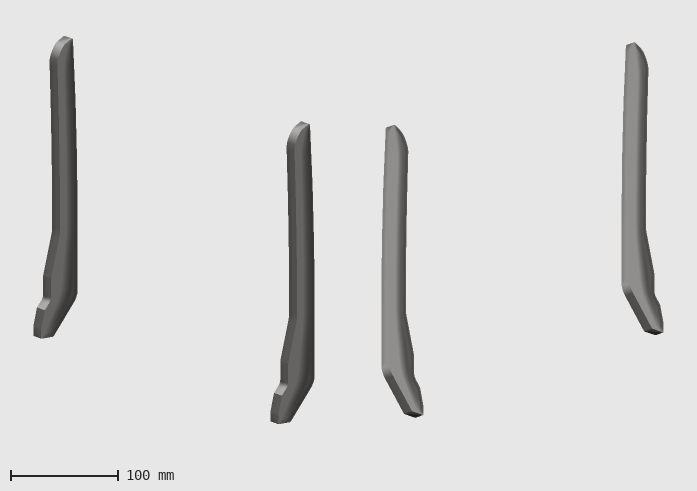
import cadquery as cq
import math

total_width = 250.0
plate_depth = 80.0
plate_height = 402.8
plate_thickness = 8.0

back_curve_start = 100.5
tip_back_depth = 10.5
tip_front_depth = 45.5
tip_front_height = 411.5
knee_depth = 38.5
knee_height = 135.7
step_depth = 58.5
step_height = 92.0
ledge_height = 60.0
ledge_front_depth = 72.0
nose_top_height = 41.0
nose_bottom_height = 27.0
tip_angle = math.radians(29)

tip_front_radius = 12.0
tip_back_radius = 8.0
heel_radius = 8.0
knee_radius = 20.0
ledge_radius = 4.0
nose_radius = 3.2

tip_back_height = tip_front_height - (tip_front_depth - tip_back_depth) * math.tan(tip_angle)
bottom_front_depth = plate_depth - nose_bottom_height


def profile_point(depth, height):
    """Point on the YZ plane, with the plate centred in Y and Z."""
    return (plate_depth / 2 - depth, height - plate_height / 2)


def round_corner(plate, depth, height, radius):
    """Round the thickness-wise edge at one profile corner."""
    y, z = profile_point(depth, height)
    reach = 0.2
    corner_box = cq.selectors.BoxSelector(
        (-reach, y - reach, z - reach), (plate_thickness + reach, y + reach, z + reach)
    )
    return plate.edges("|X").edges(corner_box).fillet(radius)


def make_plate(left_side):
    """One arm plate, starting at X = left_side and growing toward +X."""
    back_start = profile_point(0, back_curve_start)
    tip_front = profile_point(tip_front_depth, tip_front_height)
    plate = (
        cq.Workplane("YZ")
        .moveTo(*profile_point(0, 0))
        .lineTo(*back_start)
        .tangentArcPoint(profile_point(tip_back_depth, tip_back_height), relative=False)
        .lineTo(*tip_front)
    )
    rise = tip_front_height - knee_height
    lean = tip_front_depth - knee_depth
    front_arc_radius = (rise**2 + lean**2) / (2 * lean)
    half_sweep = math.asin(rise / front_arc_radius) / 2
    arc_middle = profile_point(
        knee_depth + front_arc_radius * (1 - math.cos(half_sweep)),
        knee_height + front_arc_radius * math.sin(half_sweep),
    )
    plate = (
        plate.threePointArc(arc_middle, profile_point(knee_depth, knee_height))
        .lineTo(*profile_point(step_depth, step_height))
        .lineTo(*profile_point(step_depth, ledge_height))
        .lineTo(*profile_point(ledge_front_depth, ledge_height))
        .lineTo(*profile_point(plate_depth, nose_top_height))
        .lineTo(*profile_point(plate_depth, nose_bottom_height))
        .lineTo(*profile_point(bottom_front_depth, 0))
        .close()
        .extrude(plate_thickness)
    )
    rounded_corners = [
        (0, 0, heel_radius),
        (tip_back_depth, tip_back_height, tip_back_radius),
        (tip_front_depth, tip_front_height, tip_front_radius),
        (knee_depth, knee_height, knee_radius),
        (step_depth, ledge_height, ledge_radius),
        (plate_depth, nose_top_height, nose_radius),
        (plate_depth, nose_bottom_height, nose_radius),
    ]
    for depth, height, radius in rounded_corners:
        plate = round_corner(plate, depth, height, radius)
    return plate.translate((left_side, 0, 0))


plates = []
for left_side in (-total_width / 2, total_width / 2 - plate_thickness):
    plates.append(make_plate(left_side).val())

result = cq.Compound.makeCompound([plate.Solids()[0] for plate in plates])